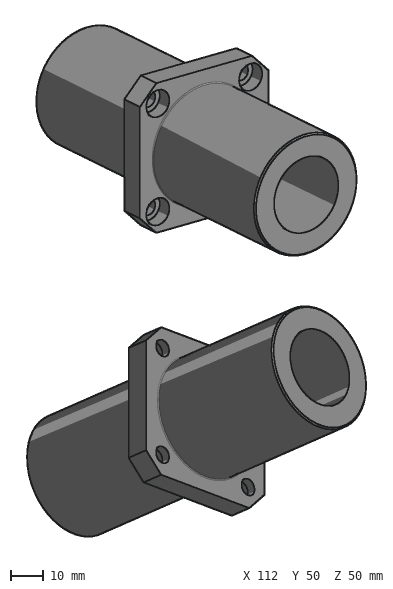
import cadquery as cq

length = 112.0
body_diameter = 40.0
bore_diameter = 25.0
end_chamfer = 0.5

flange_width = 50.0
flange_thickness = 8.0
corner_chamfer = 6.4
hole_diameter = 5.5
hole_spacing = 36.1
counterbore_diameter = 9.0
counterbore_depth = 4.9
root_fillet = 0.3


def centred_cylinder(diameter, height):
    return cq.Workplane("YZ").circle(diameter / 2).extrude(height / 2, both=True)


body = centred_cylinder(body_diameter, length).faces("<X or >X").edges().chamfer(end_chamfer)

flange = (
    cq.Workplane("XY")
    .box(flange_thickness, flange_width, flange_width)
    .edges("|X")
    .chamfer(corner_chamfer)
    .faces(">X")
    .workplane()
    .rect(hole_spacing, hole_spacing, forConstruction=True)
    .vertices()
    .cboreHole(hole_diameter, counterbore_diameter, counterbore_depth)
)

bore = centred_cylinder(bore_diameter, length)

flanged_body = body.union(flange)

flange_zone = cq.selectors.BoxSelector(
    (-flange_thickness, -flange_width, -flange_width),
    (flange_thickness, flange_width, flange_width),
)
root_circles = cq.selectors.RadiusNthSelector(-1)
flanged_body = flanged_body.edges(flange_zone).edges(root_circles).fillet(root_fillet)

result = flanged_body.cut(bore)